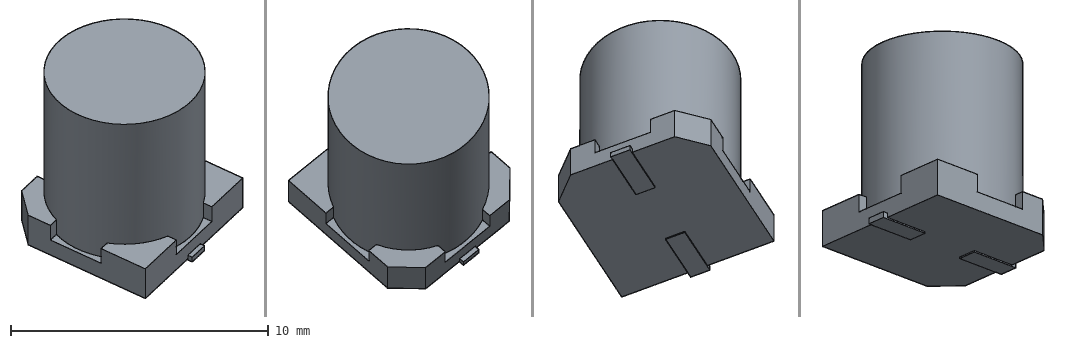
import cadquery as cq

total_height = 7.75
lead_span = 7.01

base_width = 6.6
base_bottom = 0.06
base_top = 1.59
corner_chamfer = 1.05

notch_width = 2.4
notch_floor = 0.84

can_diameter = 6.27

lead_width = 0.84
lead_thickness = 0.25
lead_inner_gap = 2.605


def make_base():
    """Square base with both -X corners cut off."""
    block = (
        cq.Workplane("XY")
        .workplane(offset=base_bottom)
        .rect(base_width, base_width)
        .extrude(base_top - base_bottom)
    )
    return block.edges("|Z and <X").chamfer(corner_chamfer)


def make_notches():
    """Two crossing channels; the can later fills their middle."""
    channel = (
        cq.Workplane("XY")
        .workplane(offset=notch_floor)
        .rect(base_width, notch_width)
        .extrude(base_top - notch_floor)
    )
    return channel.union(channel.rotate((0, 0, 0), (0, 0, 1), 90))


def make_can():
    """Cylinder standing on the notch floor."""
    return (
        cq.Workplane("XY")
        .workplane(offset=notch_floor)
        .circle(can_diameter / 2)
        .extrude(total_height - notch_floor)
    )


def make_lead(side):
    """Flat lead under the base; side is -1 for -X and +1 for +X."""
    length = (lead_span - lead_inner_gap) / 2
    center_x = side * (lead_span + lead_inner_gap) / 4
    return (
        cq.Workplane("XY")
        .center(center_x, 0)
        .rect(length, lead_width)
        .extrude(lead_thickness)
    )


result = make_base().cut(make_notches()).union(make_can())
for side in (-1, 1):
    result = result.union(make_lead(side))